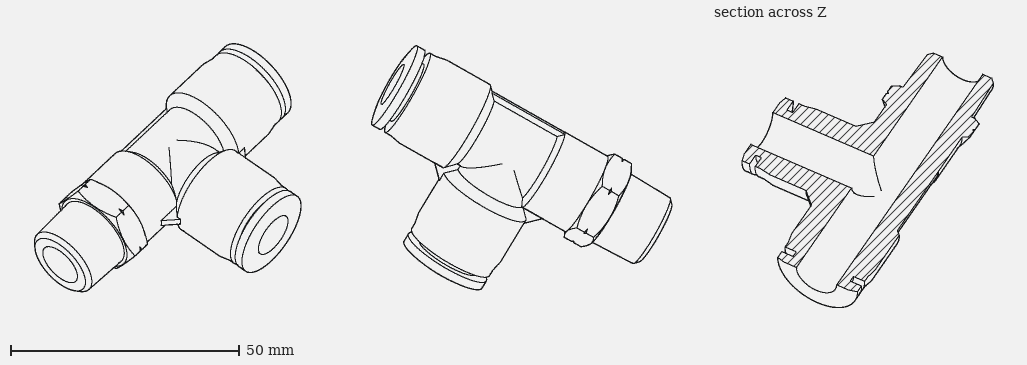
import cadquery as cq
import math


neck_radius = 8.25
socket_radius = 10.5
socket_start = 11.5
taper_start = 22.5
taper_end = 25.0
body_end = 26.45
body_end_radius = 10.0
ring_groove_radius = 7.2
ring_start = 27.8
ring_radius = 10.0
ring_end = 30.25
ring_edge_length = 0.5
ring_edge_inset = 1.9
bore_radius = 5.0

sleeve_radius = 9.5
sleeve_start = 6.75
hex_start = 18.9
hex_end = 24.95
hex_across_flats = 19.0
hex_end_radius = 9.4
hex_chamfer_angle = math.radians(30)
hex_mark_depth = 0.45
hex_mark_half_width = 0.22
thread_end = 36.5
thread_small_radius = 8.3
thread_tip_chamfer = 1.0
thread_slope = 1 / 32

web_thickness = 1.8
rib_top = 10.5
rib_bottom = -8.0
upper_gusset_leg = 23.95
lower_gusset_leg = 22.95

hex_corner_radius = hex_across_flats / math.sqrt(3)
thread_tip_start = thread_end - thread_tip_chamfer
thread_large_radius = thread_small_radius + (thread_tip_start - hex_end) * thread_slope


def revolve_about_y(points):
    """Solid of revolution about Y from (radius, y) points."""
    return cq.Workplane("XY").polyline(points).close().revolve(360, (0, 0, 0), (0, 1, 0))


def socket():
    """Neck, socket body and release ring, pointing to +Y from the origin."""
    return revolve_about_y([
        (0, 0),
        (neck_radius, 0),
        (neck_radius, socket_start - (socket_radius - neck_radius)),
        (socket_radius, socket_start),
        (socket_radius, taper_start),
        (body_end_radius, taper_end),
        (body_end_radius, body_end),
        (ring_groove_radius, body_end),
        (ring_groove_radius, ring_start),
        (ring_radius, ring_start),
        (ring_radius, ring_end - ring_edge_length),
        (ring_radius - ring_edge_inset, ring_end),
        (0, ring_end),
    ])


def threaded_leg():
    """Neck, sleeve and taper thread, pointing to -Y; sleeve and thread meet inside the hexagon."""
    return revolve_about_y([
        (0, 0),
        (neck_radius, 0),
        (neck_radius, -sleeve_start),
        (sleeve_radius, -(sleeve_start + sleeve_radius - neck_radius)),
        (sleeve_radius, -hex_start),
        (thread_large_radius, -hex_end),
        (thread_small_radius, -thread_tip_start),
        (thread_small_radius - thread_tip_chamfer, -thread_end),
        (0, -thread_end),
    ])


def hexagon():
    """Hexagon with corners on X, both ends chamfered and a V mark around its corners."""
    chamfer_length = (hex_corner_radius - hex_end_radius) * math.tan(hex_chamfer_angle)
    hex_middle = (hex_start + hex_end) / 2
    corner_count = 6
    prism = (
        cq.Workplane("XZ")
        .workplane(offset=hex_start)
        .polygon(corner_count, 2 * hex_corner_radius)
        .extrude(hex_end - hex_start)
    )
    envelope = revolve_about_y([
        (0, -hex_start),
        (hex_end_radius, -hex_start),
        (hex_corner_radius, -(hex_start + chamfer_length)),
        (hex_corner_radius, -(hex_middle - hex_mark_half_width)),
        (hex_corner_radius - hex_mark_depth, -hex_middle),
        (hex_corner_radius, -(hex_middle + hex_mark_half_width)),
        (hex_corner_radius, -(hex_end - chamfer_length)),
        (hex_end_radius, -hex_end),
        (0, -hex_end),
    ])
    return prism.intersect(envelope)


def web(points):
    """Flat plate centred on the XY plane."""
    return cq.Workplane("XY").polyline(points).close().extrude(web_thickness / 2, both=True)


def bore(direction, length):
    """Round passage from the origin along a direction."""
    return cq.Workplane(cq.Solid.makeCylinder(bore_radius, length, cq.Vector(0, 0, 0), direction))


run_socket = socket()
branch_socket = socket().rotate((0, 0, 0), (0, 0, 1), -90)

rib = web([
    (-sleeve_radius, rib_bottom),
    (0, rib_bottom),
    (0, rib_top),
    (-sleeve_radius, rib_top),
])
upper_gusset = web([(0, 0), (upper_gusset_leg, 0), (0, upper_gusset_leg)])
lower_gusset = web([(0, 0), (lower_gusset_leg, 0), (0, -lower_gusset_leg)])

result = run_socket.union(branch_socket).union(threaded_leg()).union(hexagon())
result = result.union(rib).union(upper_gusset).union(lower_gusset)
result = result.cut(bore(cq.Vector(0, 1, 0), ring_end))
result = result.cut(bore(cq.Vector(1, 0, 0), ring_end))
result = result.cut(bore(cq.Vector(0, -1, 0), thread_end))